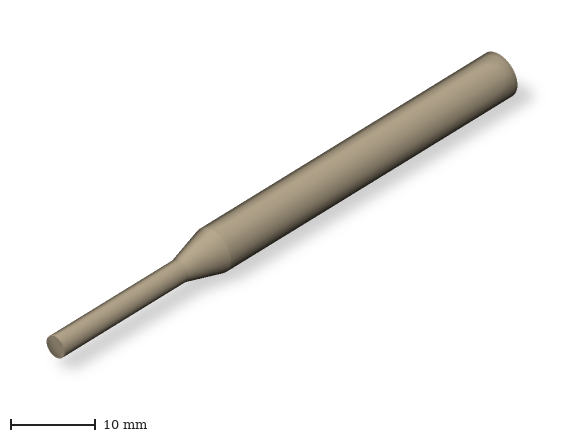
import cadquery as cq

total_length = 75
shank_diameter = 6
tip_diameter = 3

tip_length = 19.05
neck_length = 1.9
cone_length = 5.6

shank_radius = shank_diameter / 2
tip_radius = tip_diameter / 2

neck_start = tip_length
cone_start = neck_start + neck_length
shank_start = cone_start + cone_length

profile = (
    cq.Workplane("XY")
    .moveTo(0, 0)
    .lineTo(tip_radius, 0)
    .lineTo(tip_radius, neck_start)
    .lineTo(tip_radius, cone_start)
    .lineTo(shank_radius, shank_start)
    .lineTo(shank_radius, total_length)
    .lineTo(0, total_length)
    .close()
)

result = profile.revolve(360, (0, 0, 0), (0, 1, 0), clean=False)